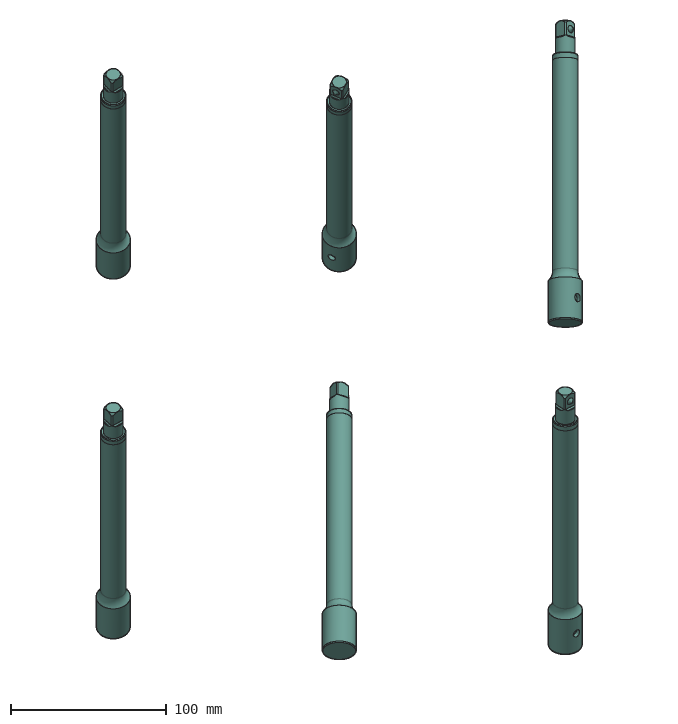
import cadquery as cq
import math

total_length = 200.3

socket_diameter = 22.0
socket_height = 27.8
socket_chamfer_height = 0.8
socket_chamfer_width = 0.5
shaft_diameter = 16.5
shaft_top = 174.7
shoulder_height = 6.6
cross_hole_diameter = 5.2
cross_hole_depth = 3.0
cross_hole_z = 15.0

collar_top = 178.5
collar_chamfer = 0.6
neck_diameter = 12.8
neck_top = 189.0
square_width = 9.5
square_edge_chamfer = 0.8
square_flare = 1.0
tip_circle_diameter = 9.2

pin_diameter = 4.8
pin_tip_diameter = 0.5
pin_depth = 2.0
pin_projection = 2.5
pin_z = 194.7


def cylinder_along_y(diameter, y_start, length, z):
    """Cylinder on the YZ plane of symmetry, running in the +Y direction."""
    cylinder = cq.Solid.makeCylinder(diameter / 2, length, cq.Vector(0, y_start, z), cq.Vector(0, 1, 0))
    return cq.Workplane(obj=cylinder)


def make_shaft():
    """Round shaft that flares through a concave shoulder into a wider socket end."""
    socket_radius = socket_diameter / 2
    shaft_radius = shaft_diameter / 2
    shoulder_top = socket_height + shoulder_height
    shoulder_width = socket_radius - shaft_radius
    arc_radius = (shoulder_width**2 + shoulder_height**2) / (2 * shoulder_width)
    half_angle = math.asin(shoulder_height / arc_radius) / 2
    arc_middle = (
        shaft_radius + arc_radius * (1 - math.cos(half_angle)),
        shoulder_top - arc_radius * math.sin(half_angle),
    )
    shaft = (
        cq.Workplane("XZ")
        .lineTo(socket_radius - socket_chamfer_width, 0)
        .lineTo(socket_radius, socket_chamfer_height)
        .lineTo(socket_radius, socket_height)
        .threePointArc(arc_middle, (shaft_radius, shoulder_top))
        .lineTo(shaft_radius, shaft_top)
        .lineTo(0, shaft_top)
        .close()
        .revolve(360, (0, 0, 0), (0, 1, 0))
    )
    hole_start = socket_radius - cross_hole_depth
    cross_hole = cylinder_along_y(cross_hole_diameter, hole_start, 2 * cross_hole_depth, cross_hole_z)
    return shaft.cut(cross_hole)


def make_square():
    """Drive square with broken edges and a conically chamfered tip."""
    square = (
        cq.Workplane("XY", origin=(0, 0, neck_top))
        .rect(square_width, square_width)
        .extrude(total_length - neck_top)
        .edges("|Z")
        .chamfer(square_edge_chamfer)
    )
    tip_radius = tip_circle_diameter / 2
    cone_height = total_length - neck_top
    tip_cone = cq.Workplane(
        obj=cq.Solid.makeCone(tip_radius + cone_height, tip_radius, cone_height, cq.Vector(0, 0, neck_top))
    )
    return square.intersect(tip_cone)


def make_square_flare():
    """Tapered foot that widens the square where it meets the neck."""
    foot_width = square_width + 2 * square_flare
    flare = (
        cq.Workplane("XY", origin=(0, 0, neck_top))
        .rect(foot_width, foot_width)
        .workplane(offset=square_flare)
        .rect(square_width, square_width)
        .loft(ruled=True)
    )
    neck_envelope = (
        cq.Workplane("XY", origin=(0, 0, neck_top)).circle(neck_diameter / 2).extrude(square_flare)
    )
    return flare.intersect(neck_envelope)


def make_drive_end():
    """Collar, neck and drive square, with a recess for the detent pin."""
    collar = (
        cq.Workplane("XY", origin=(0, 0, shaft_top))
        .circle(shaft_diameter / 2)
        .extrude(collar_top - shaft_top)
        .faces(">Z")
        .chamfer(collar_chamfer)
    )
    neck = (
        cq.Workplane("XY", origin=(0, 0, collar_top))
        .circle(neck_diameter / 2)
        .extrude(neck_top - collar_top)
    )
    recess_start = square_width / 2 - pin_depth
    recess = cylinder_along_y(pin_diameter, recess_start, 2 * pin_depth, pin_z)
    return collar.union(neck).union(make_square()).union(make_square_flare()).cut(recess)


def make_detent_pin():
    """Pin seated in the +Y face of the square, with a tapered nose."""
    face_y = square_width / 2
    stem = cylinder_along_y(pin_diameter, face_y - pin_depth, pin_depth, pin_z)
    nose = cq.Workplane(
        obj=cq.Solid.makeCone(
            pin_diameter / 2,
            pin_tip_diameter / 2,
            pin_projection,
            cq.Vector(0, face_y, pin_z),
            cq.Vector(0, 1, 0),
        )
    )
    return stem.union(nose)


shaft = make_shaft()
drive_end = make_drive_end()
detent_pin = make_detent_pin()

result = cq.Compound.makeCompound([shaft.val(), drive_end.val(), detent_pin.val()])